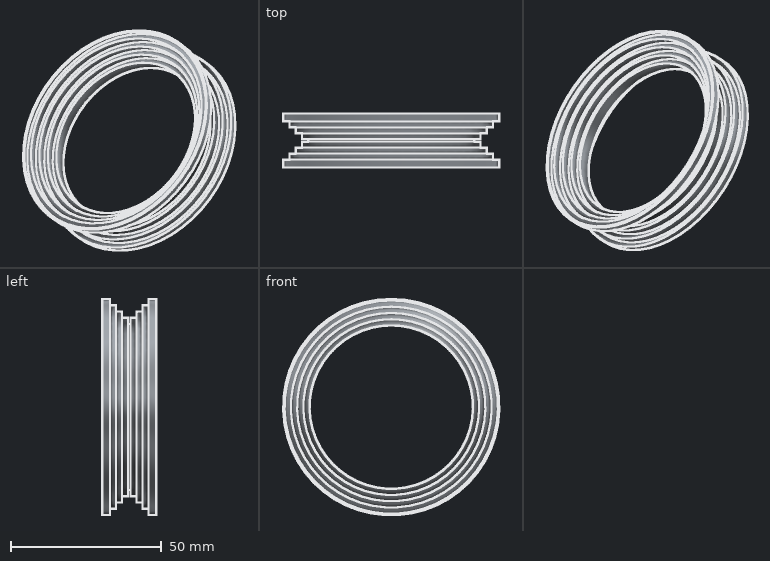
import cadquery as cq
import math

outer_diameter = 71.79
width = 18.0
wall = 0.5
step_count = 4
step_rise = 2.08
step_depth = 1.97
undercut = 1.05
outer_waist_half = 0.41

half_width = width / 2
waist_radius = outer_diameter / 2 - step_count * step_rise

web_angle = math.atan2(undercut, step_rise)
fold_shift = wall / math.cos(web_angle) + wall * math.tan(web_angle)


def stepped_flank(base_radius, first_corner):
    """Points (y, radius) of the zigzag flank from the waist up to the +Y rim face.

    first_corner is the Y position of the upper end of the lowest conical web.
    """
    points = []
    for step in range(step_count):
        corner_y = first_corner + step * step_depth
        root_radius = base_radius + step * step_rise
        points.append((corner_y + undercut, root_radius))
        points.append((corner_y, root_radius + step_rise))
    points.append((half_width, base_radius + step_count * step_rise))
    return points


def mirrored(points):
    """The same points reflected across the mid-plane, in reverse order."""
    return [(-y, radius) for y, radius in reversed(points)]


def full_width(flank):
    """Zigzag line from the -Y rim face through the waist to the +Y rim face."""
    return mirrored(flank) + flank


outside = full_width(stepped_flank(waist_radius, outer_waist_half))
bore = full_width(stepped_flank(waist_radius - wall, outer_waist_half + fold_shift))

wall_section = cq.Workplane("YZ").polyline(outside + bore[::-1]).close()
result = wall_section.revolve(360, (0, 0, 0), (1, 0, 0))